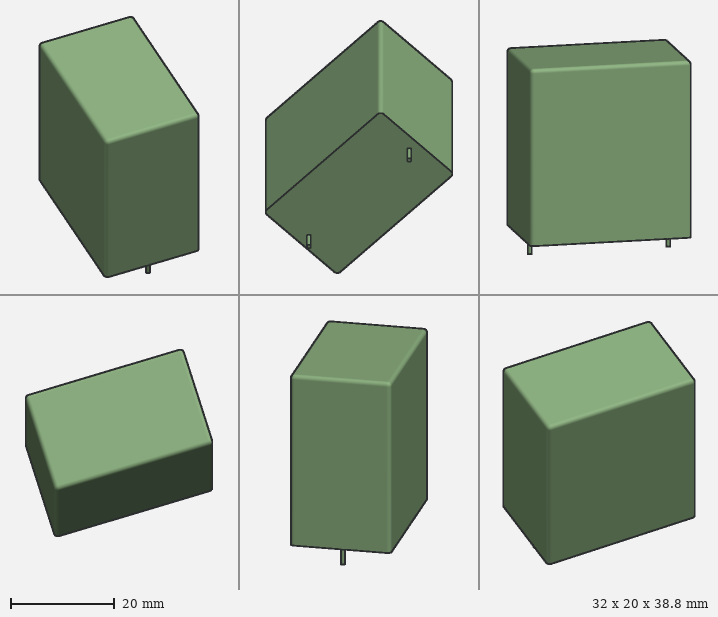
import cadquery as cq

case_length = 32.0
case_width = 20.0
overall_height = 38.8
pin_length = 3.8
case_height = overall_height - pin_length
edge_radius = 0.8

pin_diameter = 0.8
pin_spacing = 27.5


def make_case():
    """Case standing on Z = 0, with its bottom edges left sharp."""
    case = cq.Workplane("XY").box(case_length, case_width, case_height, centered=(True, True, False))
    return case.edges("|Z or >Z").fillet(edge_radius)


def make_pin(x):
    """Round pin hanging from the underside of the case at the given X."""
    return cq.Workplane("XY").center(x, 0).circle(pin_diameter / 2).extrude(-pin_length)


case = make_case()
pins = [make_pin(side * pin_spacing / 2) for side in (-1, 1)]

result = cq.Compound.makeCompound([case.val(), *[pin.val() for pin in pins]])